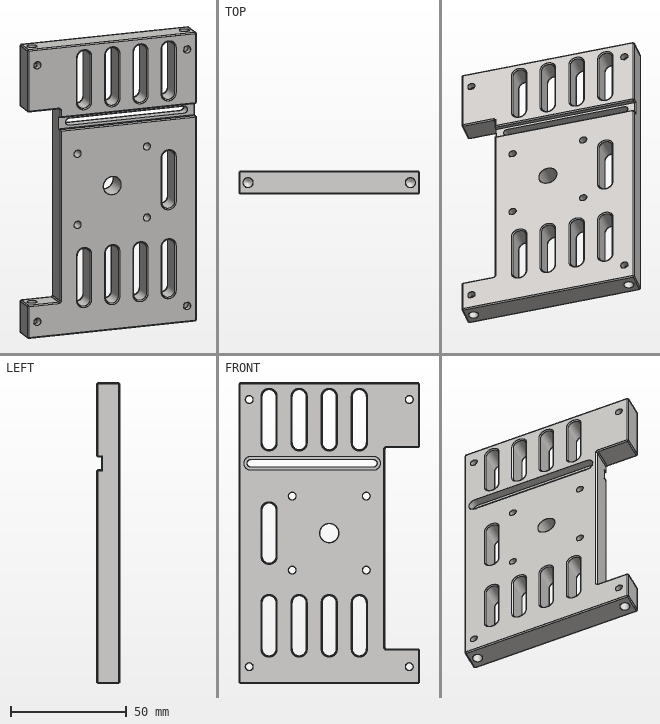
import cadquery as cq
import math

LENGTH = 130.0
WIDTH = 78.0
THICKNESS = 10.0
EDGE_CHAMFER = 0.5

NOTCH_FLOOR_X = 24.0
NOTCH_TOP_Z = 36.9
NOTCH_BOTTOM_Z = -50.0

WINDOW_WIDTH = 6.0
WINDOW_LENGTH = 26.0
WINDOW_PITCH = 13.0
WINDOW_COLUMNS = [column * WINDOW_PITCH for column in (-2, -1, 0, 1)]
UPPER_ROW_Z = 49.0
MIDDLE_Z = 0.0
LOWER_ROW_Z = -40.0

SLOT_CENTER_X = -7.4
SLOT_CENTER_Z = 30.2
SLOT_WIDTH = 3.1
SLOT_LENGTH = 56.2
SLOT_STEP = 1.4
SLOT_STEP_DEPTH = 3.4
GROOVE_WIDTH = 5.5
GROOVE_DEPTH = 2.1

CENTER_HOLE_DIAMETER = 8.2
SMALL_HOLE_DIAMETER = 3.2
MOUNT_SPACING = 32.0
CORNER_SPACING_X = 69.2
CORNER_SPACING_Z = 115.5

END_HOLE_DIAMETER = 4.3
END_HOLE_SPACING = 70.2
END_HOLE_DEPTH = 20.0
DRILL_TIP_ANGLE = 118.0

FRONT_Y = -THICKNESS / 2
BACK_Y = THICKNESS / 2


def on_front_face():
    """Sketch plane on the -Y face with local axes X and Z; negative extrusion runs into the plate."""
    return cq.Workplane("XZ", origin=(0, FRONT_Y, 0))


def box_between(x_range, y_range, z_range):
    """Box filling the given (low, high) range along each axis."""
    ranges = (x_range, y_range, z_range)
    sizes = [high - low for low, high in ranges]
    corner = tuple(low for low, high in ranges)
    return cq.Workplane("XY").box(*sizes, centered=False).translate(corner)


def make_plate():
    """Notched and grooved plate with chamfered outer edges and notch corners."""
    plate = cq.Workplane("XY").box(WIDTH, THICKNESS, LENGTH)
    notch = box_between((NOTCH_FLOOR_X, WIDTH / 2), (FRONT_Y, BACK_Y), (NOTCH_BOTTOM_Z, NOTCH_TOP_Z))
    groove = box_between(
        (-WIDTH / 2, WIDTH / 2),
        (BACK_Y - GROOVE_DEPTH, BACK_Y),
        (SLOT_CENTER_Z - GROOVE_WIDTH / 2, SLOT_CENTER_Z + GROOVE_WIDTH / 2),
    )
    plate = plate.cut(notch)
    inner_corners = plate.faces(cq.NearestToPointSelector((NOTCH_FLOOR_X, 0, 0))).edges("|Y")
    plate = inner_corners.chamfer(EDGE_CHAMFER)
    plate = plate.cut(groove)
    return plate.faces("<X or >X or <Y or >Y or <Z or >Z").edges().chamfer(EDGE_CHAMFER)


def cut_windows(plate):
    """Upright obrounds through the plate, chamfered at both faces."""
    centers = [(x, z) for x in WINDOW_COLUMNS for z in (UPPER_ROW_Z, LOWER_ROW_Z)]
    centers.append((WINDOW_COLUMNS[0], MIDDLE_Z))
    windows = on_front_face().pushPoints(centers).slot2D(WINDOW_LENGTH, WINDOW_WIDTH, 90).extrude(-THICKNESS)
    flares = (
        on_front_face()
        .pushPoints(centers)
        .slot2D(WINDOW_LENGTH + 2 * EDGE_CHAMFER, WINDOW_WIDTH + 2 * EDGE_CHAMFER, 90)
        .extrude(-EDGE_CHAMFER, taper=45)
    )
    return plate.cut(windows).cut(flares).cut(flares.mirror("XZ"))


def slot_cutter():
    """Through slot with a wider step sunk from the -Y face."""
    through = (
        on_front_face()
        .center(SLOT_CENTER_X, SLOT_CENTER_Z)
        .slot2D(SLOT_LENGTH, SLOT_WIDTH)
        .extrude(-THICKNESS)
    )
    step = (
        on_front_face()
        .center(SLOT_CENTER_X, SLOT_CENTER_Z)
        .slot2D(SLOT_LENGTH + 2 * SLOT_STEP, SLOT_WIDTH + 2 * SLOT_STEP)
        .extrude(-SLOT_STEP_DEPTH)
    )
    return through.union(step)


def round_holes(diameter, centers):
    """Cylinders through the thickness at the given (x, z) centers."""
    return on_front_face().pushPoints(centers).circle(diameter / 2).extrude(-THICKNESS)


def rectangle_corners(spacing_x, spacing_z):
    return [(sx * spacing_x / 2, sz * spacing_z / 2) for sx in (-1, 1) for sz in (-1, 1)]


def end_drill(x):
    """Drill shape with a conical tip, entering from the top end."""
    radius = END_HOLE_DIAMETER / 2
    tip_height = radius / math.tan(math.radians(DRILL_TIP_ANGLE / 2))
    shoulder_z = LENGTH / 2 - END_HOLE_DEPTH
    return (
        cq.Workplane("XZ")
        .moveTo(0, LENGTH / 2)
        .lineTo(radius, LENGTH / 2)
        .lineTo(radius, shoulder_z)
        .lineTo(0, shoulder_z - tip_height)
        .close()
        .revolve(360, (0, 0), (0, 1))
        .translate((x, 0, 0))
    )


result = cut_windows(make_plate())
result = result.cut(slot_cutter())
result = result.cut(round_holes(CENTER_HOLE_DIAMETER, [(0, 0)]))
result = result.cut(round_holes(SMALL_HOLE_DIAMETER, rectangle_corners(MOUNT_SPACING, MOUNT_SPACING)))
result = result.cut(round_holes(SMALL_HOLE_DIAMETER, rectangle_corners(CORNER_SPACING_X, CORNER_SPACING_Z)))
for hole_x in (-END_HOLE_SPACING / 2, END_HOLE_SPACING / 2):
    drill = end_drill(hole_x)
    result = result.cut(drill).cut(drill.mirror("XY"))